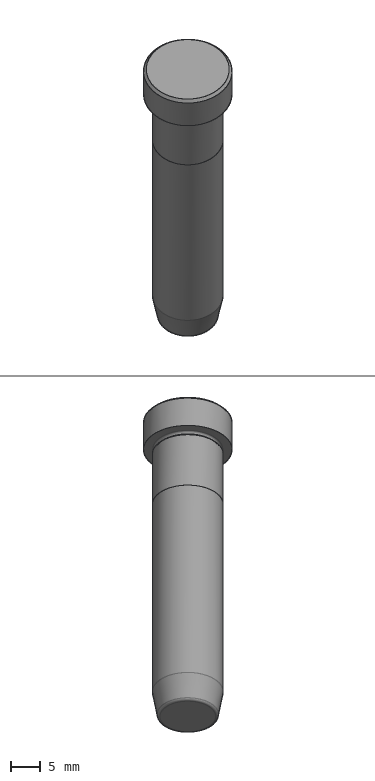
import cadquery as cq
import math

pin_length = 60.0
head_radius = 7.5
head_height = 6.0
head_chamfer = 0.5
shank_radius = 6.0

neck_radius = 5.5
neck_flare = 0.4

upper_length = 17.1

taper_height = 5.0
taper_angle = 10.0
tip_fillet = 0.5

head_bottom = pin_length - head_height
undercut_depth = shank_radius - neck_radius
undercut_bottom = head_bottom - neck_flare - undercut_depth
joint_height = pin_length - upper_length
tip_radius = shank_radius - taper_height * math.tan(math.radians(taper_angle))


def make_headed_section():
    """Head, undercut and upper shank, revolved from a half profile."""
    flare_middle = neck_flare * (1 - math.sqrt(0.5))
    profile = (
        cq.Workplane("XZ")
        .moveTo(0, joint_height)
        .lineTo(shank_radius, joint_height)
        .lineTo(shank_radius, undercut_bottom)
        .lineTo(neck_radius, head_bottom - neck_flare)
        .threePointArc(
            (neck_radius + flare_middle, head_bottom - flare_middle),
            (neck_radius + neck_flare, head_bottom),
        )
        .lineTo(head_radius, head_bottom)
        .lineTo(head_radius, pin_length - head_chamfer)
        .lineTo(head_radius - head_chamfer, pin_length)
        .lineTo(0, pin_length)
        .close()
    )
    return profile.revolve(360, (0, 0, 0), (0, 1, 0))


def make_guide_section():
    """Lower shank with a tapered lead-in and a rounded tip edge."""
    profile = (
        cq.Workplane("XZ")
        .lineTo(tip_radius, 0)
        .lineTo(shank_radius, taper_height)
        .lineTo(shank_radius, joint_height)
        .lineTo(0, joint_height)
        .close()
    )
    return profile.revolve(360, (0, 0, 0), (0, 1, 0)).faces("<Z").edges().fillet(tip_fillet)


headed_section = make_headed_section()
guide_section = make_guide_section()

result = cq.Compound.makeCompound([headed_section.val(), guide_section.val()])